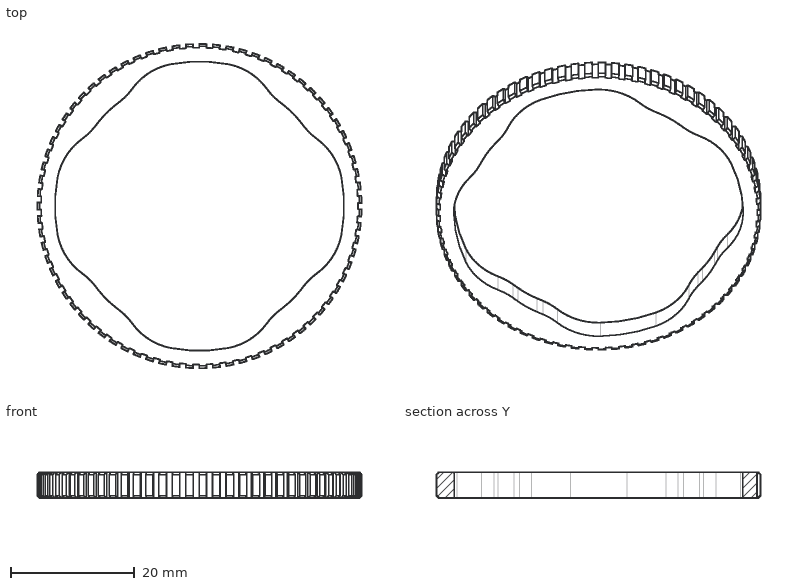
import cadquery as cq
import math

outer_radius = 26.2
ring_height = 4.2
edge_chamfer = 0.4

slot_count = 75
slot_width = 0.98
slot_depth = 0.6

wall_count = 4
wall_distance = 23.33
wall_radius = 25.0
wall_half_width = 4.6
lobe_radius = 10.0
neck_radius = 10.0
pocket_distance = 21.25
pocket_radius = 15.0
pocket_half_width = 1.82


def polar(center, radius, angle):
    """Point at the given radius and angle (radians) from a centre."""
    return (center[0] + radius * math.cos(angle), center[1] + radius * math.sin(angle))


def direction(start, end):
    """Angle in radians of the line from start to end."""
    return math.atan2(end[1] - start[1], end[0] - start[0])


def arc(center, radius, start_angle, end_angle):
    """Circular edge between two angles about a centre."""
    angles = (start_angle, (start_angle + end_angle) / 2, end_angle)
    points = [cq.Vector(*polar(center, radius, angle)) for angle in angles]
    return cq.Edge.makeThreePointArc(*points)


def eighth_of_opening():
    """Edges of the opening from the middle of the +X wall to the X = Y diagonal."""
    diagonal = math.pi / wall_count

    wall_center = (wall_distance - wall_radius, 0)
    wall_angle = math.asin(wall_half_width / wall_radius)
    lobe_center = polar(wall_center, wall_radius - lobe_radius, wall_angle)

    pocket_center = polar((0, 0), pocket_distance - pocket_radius, diagonal)
    pocket_angle = diagonal - math.asin(pocket_half_width / pocket_radius)
    flank_angle = pocket_angle - math.pi / 2
    flank_start = polar(pocket_center, pocket_radius, pocket_angle)

    offset_start = polar(flank_start, neck_radius, pocket_angle)
    gap = math.dist(lobe_center, offset_start)
    gap_angle = direction(lobe_center, offset_start) - flank_angle
    along = gap * math.cos(gap_angle)
    across = gap * math.sin(gap_angle)
    flank_length = -along - math.sqrt((lobe_radius + neck_radius) ** 2 - across**2)
    flank_end = polar(flank_start, flank_length, flank_angle)
    neck_center = polar(offset_start, flank_length, flank_angle)
    neck_angle = direction(lobe_center, neck_center)

    return [
        arc(wall_center, wall_radius, 0, wall_angle),
        arc(lobe_center, lobe_radius, wall_angle, neck_angle),
        arc(neck_center, neck_radius, neck_angle + math.pi, pocket_angle + math.pi),
        cq.Edge.makeLine(cq.Vector(*flank_end), cq.Vector(*flank_start)),
        arc(pocket_center, pocket_radius, pocket_angle, diagonal),
    ]


def make_opening():
    """Solid that fills the opening over the full ring height."""
    eighth = eighth_of_opening()
    edges = []
    for side in range(wall_count):
        for edge in eighth:
            for half in (edge, edge.mirror("XZ")):
                edges.append(half.rotate(cq.Vector(), cq.Vector(0, 0, 1), side * 360 / wall_count))
    outline = cq.Wire.combine(edges)[0]
    return cq.Workplane(outline).toPending().extrude(ring_height)


def make_slots():
    """Straight slots around the rim, the first one on +X."""
    return (
        cq.Workplane("XY")
        .polarArray(outer_radius, 0, 360, slot_count)
        .rect(2 * slot_depth, slot_width)
        .extrude(ring_height)
    )


def make_disc():
    """Round blank with both rim edges chamfered."""
    return cq.Workplane("XY").circle(outer_radius).extrude(ring_height).edges().chamfer(edge_chamfer)


result = make_disc().cut(make_opening()).cut(make_slots())